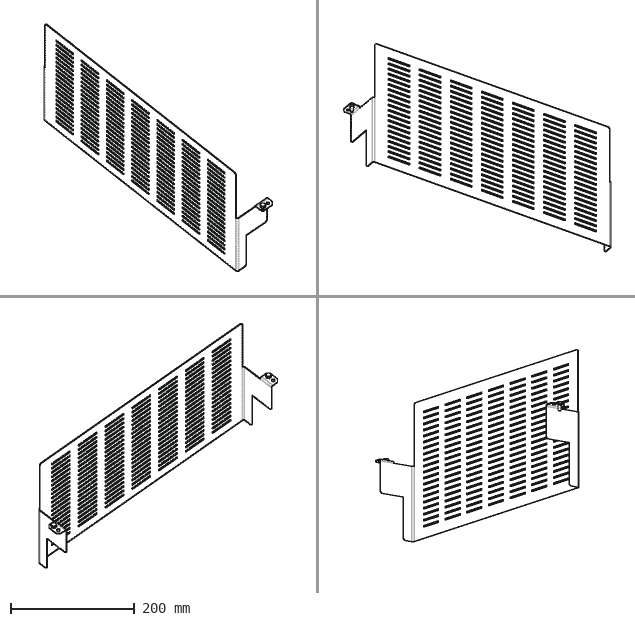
import cadquery as cq
import math

overall_width = 495.0
depth = 66.5
height = 230.0
sheet = 1.75
inner_bend_radius = 2.0
bend_radius = inner_bend_radius + sheet
corner_radius = 4.5

channel_width = 460.5
flange_height = 125.0
flange_step_height = 72.0
lower_flange_depth = 21.0
flange_outer_x = channel_width / 2
flange_inner_x = flange_outer_x - sheet
panel_half_width = flange_outer_x - bend_radius

diagonal = math.sqrt(0.5)

tab_width = 26.5
tab_chamfer = 5.0
tab_tip_x = overall_width / 2
tab_top_z = flange_height + bend_radius
tab_bend_x = flange_inner_x + bend_radius
tab_center_y = depth - tab_width / 2
tab_hole_spacing = 11.0
tab_hole_x = 240.0

slot_columns = 7
slot_rows = 20
slot_length = 40.5
slot_height = 2.5
slot_pitch_x = 60.0
slot_rows_span = 190.0
slot_pitch_z = slot_rows_span / (slot_rows - 1)

head_across_corners = 10.5
head_height = 4.5
head_crown_diameter = 7.5
head_chamfer_height = 1.5
shank_diameter = 5.5
shank_length = 6.5
tip_diameter = 4.0
tip_length = 4.0
screw_y = tab_center_y - tab_hole_spacing / 2


def make_panel():
    """Flat front plate over the full height, with rounded upper corners."""
    plate = cq.Workplane("XY").box(2 * panel_half_width, sheet, height, centered=(True, False, False))
    return plate.edges("|Y and >Z").fillet(corner_radius)


def make_flange():
    """Right-hand side flange: bend from the panel plus a stepped side wall."""
    bend_center_y = bend_radius
    wall = (
        cq.Workplane("XY")
        .moveTo(panel_half_width, 0)
        .threePointArc(
            (panel_half_width + bend_radius * diagonal, bend_center_y - bend_radius * diagonal),
            (flange_outer_x, bend_center_y),
        )
        .lineTo(flange_outer_x, depth)
        .lineTo(flange_inner_x, depth)
        .lineTo(flange_inner_x, bend_center_y)
        .threePointArc(
            (panel_half_width + inner_bend_radius * diagonal, bend_center_y - inner_bend_radius * diagonal),
            (panel_half_width, sheet),
        )
        .close()
        .extrude(flange_height)
    )
    notch = (
        cq.Workplane("XY")
        .box(channel_width, depth - lower_flange_depth, flange_step_height, centered=False)
        .translate((0, lower_flange_depth, 0))
    )
    wall = wall.cut(notch)
    bottom_corner = cq.selectors.NearestToPointSelector((flange_outer_x, lower_flange_depth, 0))
    step_corner = cq.selectors.NearestToPointSelector((flange_outer_x, depth, flange_step_height))
    wall = wall.edges("|X").edges(bottom_corner).fillet(corner_radius)
    return wall.edges("|X").edges(step_corner).fillet(corner_radius)


def make_tab():
    """Right-hand mounting tab: outward bend plus a flat ear with two holes."""
    profile = (
        cq.Workplane("XZ", origin=(0, depth, 0))
        .moveTo(flange_inner_x, flange_height)
        .threePointArc(
            (tab_bend_x - bend_radius * diagonal, flange_height + bend_radius * diagonal),
            (tab_bend_x, tab_top_z),
        )
        .lineTo(tab_tip_x, tab_top_z)
        .lineTo(tab_tip_x, tab_top_z - sheet)
        .lineTo(tab_bend_x, tab_top_z - sheet)
        .threePointArc(
            (tab_bend_x - inner_bend_radius * diagonal, flange_height + inner_bend_radius * diagonal),
            (flange_outer_x, flange_height),
        )
        .close()
    )
    tab = profile.extrude(tab_width).edges("|Z and >X").chamfer(tab_chamfer)
    holes = (
        cq.Workplane("XY", origin=(tab_hole_x, tab_center_y, flange_height))
        .rarray(5, tab_hole_spacing, 1, 2)
        .circle(shank_diameter / 2)
        .extrude(2 * bend_radius)
    )
    return tab.cut(holes)


def make_slots():
    """Cutters for the grid of horizontal slots, centred on the panel."""
    return (
        cq.Workplane("XZ", origin=(0, sheet, height / 2))
        .rarray(slot_pitch_x, slot_pitch_z, slot_columns, slot_rows)
        .rect(slot_length, slot_height)
        .extrude(sheet)
    )


def make_cover():
    """Folded sheet: slotted panel, both flanges and both tabs in one piece."""
    right_side = make_flange().union(make_tab())
    left_side = right_side.mirror("YZ")
    return make_panel().cut(make_slots()).union(right_side).union(left_side)


def make_screw(x):
    """Hex head screw seated on a tab, with a tapered tip."""
    seat = cq.Workplane("XY", origin=(x, screw_y, tab_top_z))
    head = seat.polygon(6, head_across_corners).extrude(head_height)
    crown = (
        cq.Workplane("XZ", origin=(x, screw_y, tab_top_z))
        .lineTo(head_across_corners / 2, 0)
        .lineTo(head_across_corners / 2, head_height - head_chamfer_height)
        .lineTo(head_crown_diameter / 2, head_height)
        .lineTo(0, head_height)
        .close()
        .revolve(360, (0, 0), (0, 1))
    )
    shank = (
        cq.Workplane("XZ", origin=(x, screw_y, tab_top_z))
        .lineTo(shank_diameter / 2, 0)
        .lineTo(shank_diameter / 2, -shank_length)
        .lineTo(tip_diameter / 2, -shank_length - tip_length)
        .lineTo(0, -shank_length - tip_length)
        .close()
        .revolve(360, (0, 0), (0, 1))
    )
    return head.intersect(crown).union(shank)


cover = make_cover()
screws = [make_screw(side * tab_hole_x) for side in (-1, 1)]

result = cq.Compound.makeCompound([cover.val(), *[screw.val() for screw in screws]])